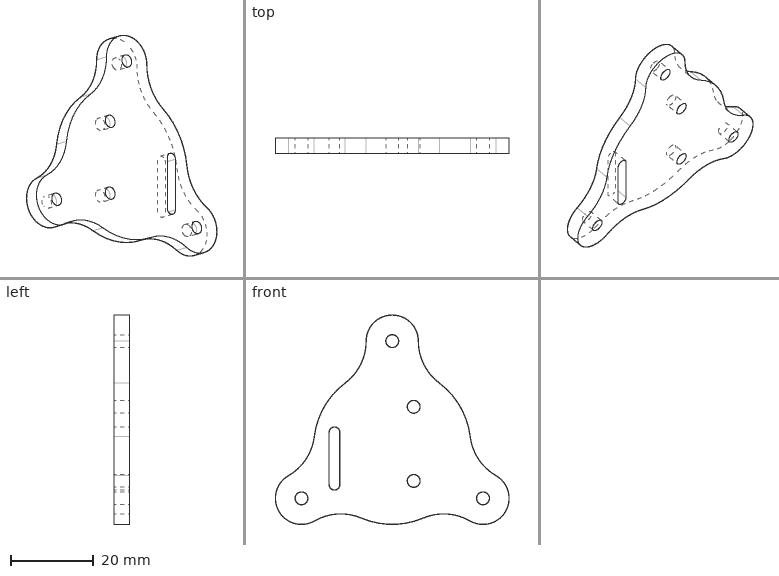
import cadquery as cq
import math

thickness = 3.81
disk_radius = 19.05
lobe_radius = 6.35
lobe_distance = 25.4
lobe_count = 3
first_lobe_angle = 90.0

blend_radius = (lobe_distance**2 + lobe_radius**2 - disk_radius**2) / (2 * (disk_radius - lobe_radius))
blend_offset = lobe_radius + blend_radius
blend_angle = math.degrees(math.atan2(blend_offset, lobe_distance))

hole_diameter = 3.05
pair_x = 5.2
pair_spacing = 17.96
pair_middle_z = 0.5

slot_width = 2.54
slot_length = 15.24
slot_x = -14.0
slot_middle_z = -3.05


def polar(radius, angle):
    """Point in the XZ plane at a radius and an angle in degrees."""
    radians = math.radians(angle)
    return (radius * math.cos(radians), radius * math.sin(radians))


def offset_from(point, radius, angle):
    """Point at a radius and an angle in degrees around another point."""
    dx, dz = polar(radius, angle)
    return (point[0] + dx, point[1] + dz)


lobe_pitch = 360.0 / lobe_count
lobe_angles = [first_lobe_angle + i * lobe_pitch for i in range(lobe_count)]
lobe_centers = [polar(lobe_distance, angle) for angle in lobe_angles]


def add_lobe(outline, angle):
    """Continue the outline counterclockwise round one lobe, its two blends and the next disk arc."""
    lobe_center = polar(lobe_distance, angle)
    blend_distance = disk_radius + blend_radius
    blend_before = polar(blend_distance, angle - blend_angle)
    blend_after = polar(blend_distance, angle + blend_angle)
    half_sweep = (90.0 - blend_angle) / 2

    outline = outline.threePointArc(
        offset_from(blend_before, blend_radius, angle + 90 + half_sweep),
        offset_from(lobe_center, lobe_radius, angle - 90),
    )
    outline = outline.threePointArc(
        offset_from(lobe_center, lobe_radius, angle),
        offset_from(lobe_center, lobe_radius, angle + 90),
    )
    outline = outline.threePointArc(
        offset_from(blend_after, blend_radius, angle - 90 - half_sweep),
        polar(disk_radius, angle + blend_angle),
    )
    return outline.threePointArc(
        polar(disk_radius, angle + lobe_pitch / 2),
        polar(disk_radius, angle + lobe_pitch - blend_angle),
    )


def make_plate():
    """Lobed plate, centred on Y = 0."""
    outline = cq.Workplane("XZ").moveTo(*polar(disk_radius, first_lobe_angle - blend_angle))
    for angle in lobe_angles:
        outline = add_lobe(outline, angle)
    return outline.close().extrude(thickness / 2, both=True)


def make_holes():
    """Cutters for the lobe holes and the pair of holes in the disk."""
    pair = [(pair_x, pair_middle_z + side * pair_spacing / 2) for side in (-1, 1)]
    return (
        cq.Workplane("XZ")
        .pushPoints(lobe_centers + pair)
        .circle(hole_diameter / 2)
        .extrude(thickness, both=True)
    )


def make_slot():
    """Cutter for the round-ended slot, long along Z."""
    return (
        cq.Workplane("XZ")
        .center(slot_x, slot_middle_z)
        .slot2D(slot_length, slot_width, 90)
        .extrude(thickness, both=True)
    )


result = make_plate().cut(make_holes()).cut(make_slot())